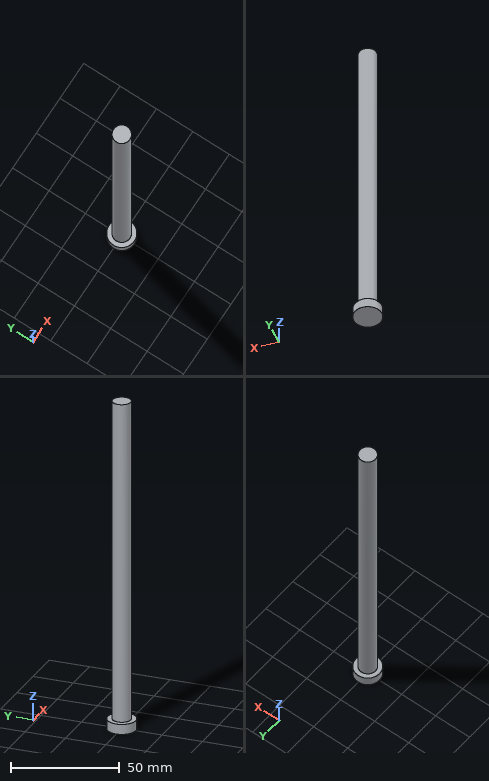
import cadquery as cq

total_length = 165.0
head_diameter = 14.0
head_height = 5.1
shank_diameter = 9.0

shank_length = total_length - head_height

head = cq.Workplane("XY").circle(head_diameter / 2).extrude(head_height)
result = head.faces(">Z").workplane().circle(shank_diameter / 2).extrude(shank_length)